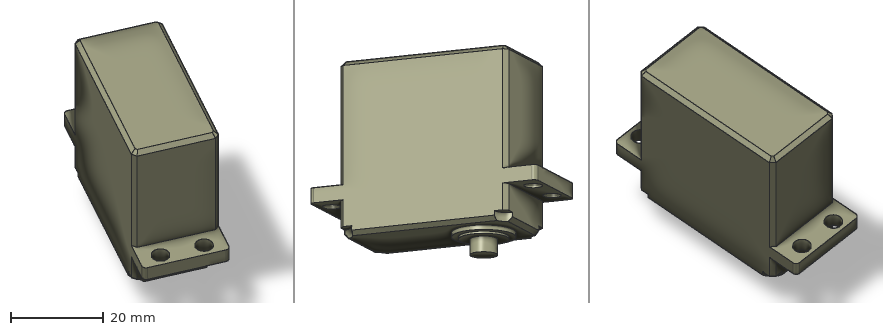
import cadquery as cq

CASE_LENGTH = 40.0
CASE_WIDTH = 20.0
CASE_HEIGHT = 39.0
CASE_CHAMFER = 1.0

EAR_LENGTH = 7.0
FLANGE_LENGTH = CASE_LENGTH + 2 * EAR_LENGTH
FLANGE_BOTTOM = 8.0
FLANGE_THICKNESS = 3.4
FLANGE_CORNER_RADIUS = 1.0
HOLE_DIAMETER = 4.0
HOLE_SPACING_X = 48.0
HOLE_SPACING_Y = 10.0

RELIEF_RADIUS = 3.0
RELIEF_HEIGHT = 2.0

SHAFT_X = CASE_LENGTH / 4
SHAFT_STEPS = (
    (14.0, 1.0),
    (11.0, 0.5),
    (6.0, 3.5),
)


def make_case():
    case = cq.Workplane("XY").box(CASE_LENGTH, CASE_WIDTH, CASE_HEIGHT, centered=(True, True, False))
    case = case.edges("|Z").chamfer(CASE_CHAMFER)
    return case.faces("<Z or >Z").edges().chamfer(CASE_CHAMFER)


def make_corner_reliefs():
    return (
        cq.Workplane("XY")
        .rect(CASE_LENGTH, CASE_WIDTH, forConstruction=True)
        .vertices()
        .circle(RELIEF_RADIUS)
        .extrude(RELIEF_HEIGHT)
    )


def make_flange():
    plate = (
        cq.Workplane("XY", origin=(0, 0, FLANGE_BOTTOM))
        .rect(FLANGE_LENGTH, CASE_WIDTH)
        .extrude(FLANGE_THICKNESS)
        .edges("|Z")
        .fillet(FLANGE_CORNER_RADIUS)
    )
    holes = (
        cq.Workplane("XY", origin=(0, 0, FLANGE_BOTTOM))
        .rect(HOLE_SPACING_X, HOLE_SPACING_Y, forConstruction=True)
        .vertices()
        .circle(HOLE_DIAMETER / 2)
        .extrude(FLANGE_THICKNESS)
    )
    return plate.cut(holes)


def add_output_shaft(body):
    step_top = 0.0
    for diameter, height in SHAFT_STEPS:
        step = cq.Workplane("XY", origin=(SHAFT_X, 0, step_top)).circle(diameter / 2).extrude(-height)
        body = body.union(step)
        step_top -= height
    return body


housing = make_case().cut(make_corner_reliefs()).union(make_flange())
result = add_output_shaft(housing)